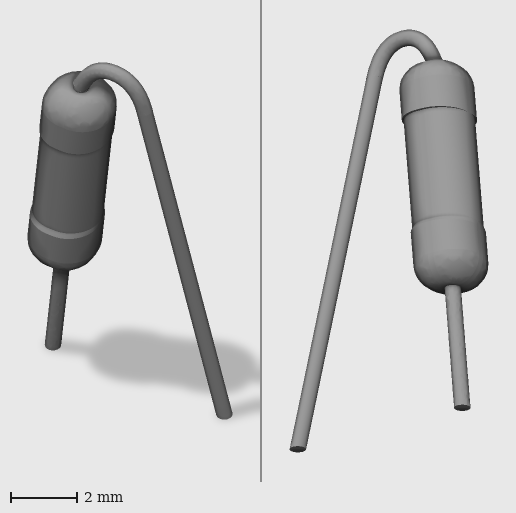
import cadquery as cq

lead_radius = 0.25
lead_pitch = 6.0
axis_lean = 0.087
long_lead_top_x = 3.2
long_lead_top_z = 11.48
long_lead_lean = (lead_pitch - long_lead_top_x) / long_lead_top_z

body_width = 2.2
waist_depth = 2.0
corner_radius = waist_depth / 2
waist_step = (body_width - waist_depth) / 2
body_bottom = 4.0
body_top = 11.4
waist_bottom = 6.0
waist_top = 9.6
ledge_height = 0.15
dome_radius = 0.8

bend_start_z = 11.52
bend_start_x = axis_lean * bend_start_z
bend_crown_x = 2.09
bend_crown_z = 12.56
bend_start_direction = cq.Vector(0.39, 0, 1)
bend_end_direction = cq.Vector(long_lead_lean, 0, -1)
bend_overrun = 0.25
trim_size = 1.28


def leaning_prism(outline, height, lean_x, lean_y=0.0):
    """Extrude a horizontal outline upward along a leaning direction."""
    direction = cq.Vector(lean_x, lean_y, 1) * height
    return cq.Workplane(obj=cq.Solid.extrudeLinear(outline.val(), [], direction))


def axis_plane(z):
    """Horizontal workplane centred on the body axis at height z."""
    return cq.Workplane("XY", origin=(axis_lean * z, 0, z))


def square_outline(z):
    """Square with rounded corners that leave a narrow flat on each side."""
    half = body_width / 2
    flat = half - corner_radius
    arc = corner_radius
    return (
        axis_plane(z)
        .moveTo(-flat, -half)
        .lineTo(flat, -half)
        .radiusArc((half, -flat), -arc)
        .lineTo(half, flat)
        .radiusArc((flat, half), -arc)
        .lineTo(-flat, half)
        .radiusArc((-half, flat), -arc)
        .lineTo(-half, -flat)
        .radiusArc((-flat, -half), -arc)
        .wire()
    )


def waist_outline(z):
    """Slot outline: full width in X, shallower in Y."""
    return axis_plane(z).slot2D(body_width, waist_depth).wires()


def body_end(bottom, top):
    return leaning_prism(square_outline(bottom), top - bottom, axis_lean)


def sloped_ledge():
    """Narrow from the rounded square to the waist by leaning both Y sides inward."""
    base = waist_bottom - ledge_height
    outline = square_outline(base)
    inward = waist_step / ledge_height
    front_side = leaning_prism(outline, ledge_height, axis_lean, inward)
    back_side = leaning_prism(outline, ledge_height, axis_lean, -inward)
    return front_side.intersect(back_side)


def make_body(bore):
    lower_end = body_end(body_bottom, waist_bottom - ledge_height).faces("<Z").edges().fillet(dome_radius)
    upper_end = body_end(waist_top, body_top).faces(">Z").edges().fillet(dome_radius)
    waist = leaning_prism(waist_outline(waist_bottom), waist_top - waist_bottom, axis_lean)
    return lower_end.union(sloped_ledge()).union(waist).union(upper_end).cut(bore)


def make_straight_lead(foot_x, height, lean):
    foot = cq.Workplane("XY", origin=(foot_x, 0, 0)).circle(lead_radius).wires()
    return leaning_prism(foot, height, lean)


def make_short_lead():
    """Lead through the body, ending on the tilted start face of the bend."""
    lead = make_straight_lead(0, bend_start_z + lead_radius, axis_lean)
    start_plane = cq.Plane((bend_start_x, 0, bend_start_z), (0, 1, 0), bend_start_direction)
    return lead.cut(cq.Workplane(start_plane).rect(trim_size, trim_size).extrude(trim_size))


def make_bend():
    start = cq.Vector(bend_start_x, 0, bend_start_z)
    crown = cq.Vector(bend_crown_x, 0, bend_crown_z)
    end = cq.Vector(long_lead_top_x, 0, long_lead_top_z)
    curve = cq.Edge.makeSpline([start, crown, end], tangents=[bend_start_direction, bend_end_direction])
    overrun = cq.Edge.makeLine(end, end + bend_end_direction * bend_overrun)
    path = cq.Workplane(obj=cq.Wire.assembleEdges([curve, overrun]))
    start_plane = cq.Plane(start, (0, 1, 0), bend_start_direction)
    tube = cq.Workplane(start_plane).circle(lead_radius).sweep(path)
    below_joint = cq.Workplane("XY", origin=end.toTuple()).rect(trim_size, trim_size).extrude(-trim_size)
    return tube.cut(below_joint)


short_lead = make_short_lead()
body = make_body(short_lead)
bend = make_bend()
long_lead = make_straight_lead(lead_pitch, long_lead_top_z, -long_lead_lean)

result = cq.Compound.makeCompound([body.val(), short_lead.val(), bend.val(), long_lead.val()])